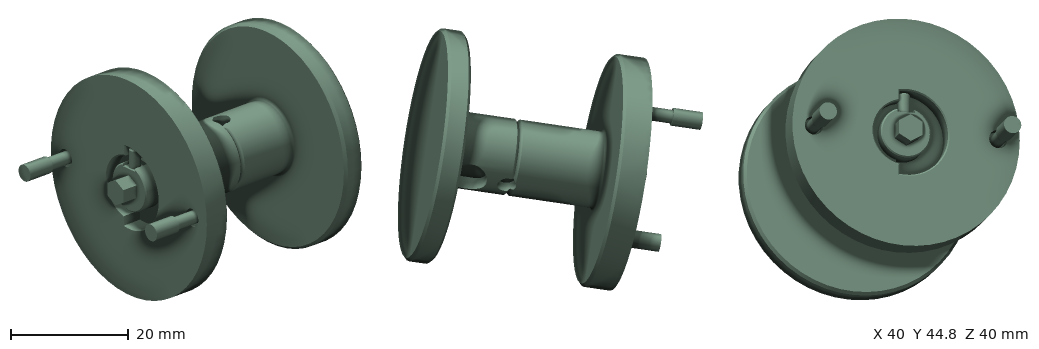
import cadquery as cq
import math

TOTAL_LENGTH = 44.8

PLATE_DIAMETER = 40.0
PLATE_CHAMFER = 0.5
ROSE_PLATE_THICKNESS = 5.0
KNOB_PLATE_THICKNESS = 4.0
HUB_RADIUS = 6.55
ROSE_HUB_LENGTH = 15.0
KNOB_HUB_LENGTH = 11.45
HUB_ROOT_FILLET = 0.5
JOINT_CHAMFER = 0.5

POCKET_STEP_X = -1.08
POCKET_WIDE_RADIUS = 7.45
POCKET_WIDE_DEPTH = 3.5
POCKET_NARROW_RADIUS = 5.7
POCKET_NARROW_DEPTH = 2.5
POCKET_MOUTH_CHAMFER = 0.22

STUD_OFFSET = 16.2
STUD_NECK_RADIUS = 1.15
STUD_HEAD_RADIUS = 1.52
STUD_HEAD_LENGTH = 5.1
STUD_HOLE_RADIUS = 1.6
STUD_HOLE_DEPTH = 2.0

CROSS_PIN_RADIUS = 1.6
CROSS_PIN_SETBACK = 0.9
ACCESS_HOLE_RADIUS = 3.15
ACCESS_HOLE_SETBACK = 3.95

CORE_RADIUS = 4.4
CORE_CHAMFER = 0.22
HEX_SIDES = 6
HEX_ACROSS_FLATS = 4.08
HEX_LENGTH = 3.05
STOP_PIN_RADIUS = 1.05
STOP_PIN_DEPTH = 1.4
STOP_PIN_TIP_Z = 7.1
STOP_PIN_CHAMFER = 0.25
SEAT_WIDTH = 3.05
SEAT_Z = 3.55
DOME_RADIUS = 2.7
DOME_TOP_Z = 5.0

JOINT_Y = ROSE_PLATE_THICKNESS + ROSE_HUB_LENGTH
KNOB_PLATE_Y = JOINT_Y + KNOB_HUB_LENGTH
KNOB_END_Y = KNOB_PLATE_Y + KNOB_PLATE_THICKNESS
CROSS_PIN_Y = JOINT_Y + CROSS_PIN_SETBACK
ACCESS_HOLE_Y = KNOB_PLATE_Y - ACCESS_HOLE_SETBACK
STUD_TIP_Y = KNOB_END_Y - TOTAL_LENGTH
PLATE_RADIUS = PLATE_DIAMETER / 2
PLATE_FACE_RADIUS = PLATE_RADIUS - PLATE_CHAMFER
HUB_ROOT_RADIUS = HUB_RADIUS + HUB_ROOT_FILLET


def rod_along_y(radius, start_y, end_y, x=0):
    """Cylinder parallel to the common axis."""
    start = cq.Vector(x, start_y, 0)
    return cq.Workplane(cq.Solid.makeCylinder(radius, end_y - start_y, start, cq.Vector(0, 1, 0)))


def rod_along_z(radius, y, start_z, end_z):
    """Vertical cylinder that crosses the common axis."""
    return cq.Workplane(cq.Solid.makeCylinder(radius, end_z - start_z, cq.Vector(0, y, start_z)))


def revolved(profile):
    """Turn a closed (radius, Y) profile into a solid of revolution about the common axis."""
    return profile.close().revolve(360, (0, 0, 0), (0, 1, 0))


def cross_pin_hole():
    """Hole through both walls of the hubs, straddling the joint."""
    return rod_along_z(CROSS_PIN_RADIUS, CROSS_PIN_Y, -HUB_RADIUS, HUB_RADIUS)


def stop_pocket():
    """Stepped recess: wide on the +X side of the step, narrower and shallower around the core."""
    half_space = cq.Workplane().box(
        PLATE_RADIUS, POCKET_WIDE_DEPTH, 2 * PLATE_RADIUS, centered=(False, False, True)
    ).translate((POCKET_STEP_X, 0, 0))
    wide = rod_along_y(POCKET_WIDE_RADIUS, 0, POCKET_WIDE_DEPTH).intersect(half_space)
    narrow = rod_along_y(POCKET_NARROW_RADIUS, 0, POCKET_NARROW_DEPTH)
    return wide.union(narrow)


def make_rose():
    """Plate with its hub, stop pocket and two studs."""
    rose = revolved(
        cq.Workplane("XY")
        .moveTo(0, 0)
        .lineTo(PLATE_RADIUS, 0)
        .lineTo(PLATE_RADIUS, ROSE_PLATE_THICKNESS - PLATE_CHAMFER)
        .lineTo(PLATE_FACE_RADIUS, ROSE_PLATE_THICKNESS)
        .lineTo(HUB_ROOT_RADIUS, ROSE_PLATE_THICKNESS)
        .radiusArc((HUB_RADIUS, ROSE_PLATE_THICKNESS + HUB_ROOT_FILLET), HUB_ROOT_FILLET)
        .lineTo(HUB_RADIUS, JOINT_Y - JOINT_CHAMFER)
        .lineTo(HUB_RADIUS - JOINT_CHAMFER, JOINT_Y)
        .lineTo(0, JOINT_Y)
    )

    rose = rose.cut(stop_pocket())
    mouth = rose.faces("<Y").val().innerWires()[0].Edges()
    rose = rose.newObject(mouth).chamfer(POCKET_MOUTH_CHAMFER)

    rose = rose.cut(rod_along_y(CORE_RADIUS, 0, JOINT_Y))
    rose = rose.cut(cross_pin_hole())

    for x in (-STUD_OFFSET, STUD_OFFSET):
        hole = rod_along_y(STUD_HOLE_RADIUS, 0, STUD_HOLE_DEPTH, x)
        neck = rod_along_y(STUD_NECK_RADIUS, STUD_TIP_Y, STUD_HOLE_DEPTH, x)
        head = rod_along_y(STUD_HEAD_RADIUS, STUD_TIP_Y, STUD_TIP_Y + STUD_HEAD_LENGTH, x)
        rose = rose.cut(hole).union(neck.union(head))
    return rose


def make_knob():
    """Plate with its hub, blind bore for the core and an access hole from below."""
    knob = revolved(
        cq.Workplane("XY")
        .moveTo(0, JOINT_Y)
        .lineTo(HUB_RADIUS - JOINT_CHAMFER, JOINT_Y)
        .lineTo(HUB_RADIUS, JOINT_Y + JOINT_CHAMFER)
        .lineTo(HUB_RADIUS, KNOB_PLATE_Y - HUB_ROOT_FILLET)
        .radiusArc((HUB_ROOT_RADIUS, KNOB_PLATE_Y), HUB_ROOT_FILLET)
        .lineTo(PLATE_FACE_RADIUS, KNOB_PLATE_Y)
        .lineTo(PLATE_RADIUS, KNOB_PLATE_Y + PLATE_CHAMFER)
        .lineTo(PLATE_RADIUS, KNOB_END_Y - PLATE_CHAMFER)
        .lineTo(PLATE_FACE_RADIUS, KNOB_END_Y)
        .lineTo(0, KNOB_END_Y)
    )
    knob = knob.cut(rod_along_y(CORE_RADIUS, JOINT_Y, KNOB_PLATE_Y))
    knob = knob.cut(cross_pin_hole())
    return knob.cut(rod_along_z(ACCESS_HOLE_RADIUS, ACCESS_HOLE_Y, -HUB_RADIUS, 0))


def domed_cross_pin():
    """Pin through the core whose two ends are shallow domes."""
    dome_edge_z = DOME_TOP_Z - DOME_RADIUS + math.sqrt(DOME_RADIUS**2 - CROSS_PIN_RADIUS**2)
    upper_half = (
        cq.Workplane("XZ")
        .lineTo(CROSS_PIN_RADIUS, 0)
        .lineTo(CROSS_PIN_RADIUS, dome_edge_z)
        .radiusArc((0, DOME_TOP_Z), -DOME_RADIUS)
        .close()
        .revolve(360, (0, 0, 0), (0, 1, 0))
    )
    return upper_half.union(upper_half.mirror("XY")).translate((0, CROSS_PIN_Y, 0))


def make_spindle():
    """Core that turns in the rose, with its hexagonal drive, stop pin and cross pin."""
    spindle = rod_along_y(CORE_RADIUS, 0, KNOB_PLATE_Y).faces("<Y").chamfer(CORE_CHAMFER)

    hex_corner_diameter = HEX_ACROSS_FLATS / math.cos(math.pi / HEX_SIDES)
    drive = cq.Workplane("XZ").polygon(HEX_SIDES, hex_corner_diameter).extrude(HEX_LENGTH)
    spindle = spindle.union(drive.rotate((0, 0, 0), (0, 1, 0), 180 / HEX_SIDES))

    seat = cq.Workplane().box(SEAT_WIDTH, 2 * STOP_PIN_DEPTH, CORE_RADIUS, centered=(True, False, False))
    spindle = spindle.cut(seat.translate((0, 0, SEAT_Z)))
    stop_pin = rod_along_z(STOP_PIN_RADIUS, STOP_PIN_DEPTH, 0, STOP_PIN_TIP_Z)
    spindle = spindle.union(stop_pin.faces(">Z").chamfer(STOP_PIN_CHAMFER))

    return spindle.union(domed_cross_pin())


rose = make_rose()
knob = make_knob()
spindle = make_spindle()
result = cq.Compound.makeCompound([*rose.solids().vals(), *knob.solids().vals(), *spindle.solids().vals()])